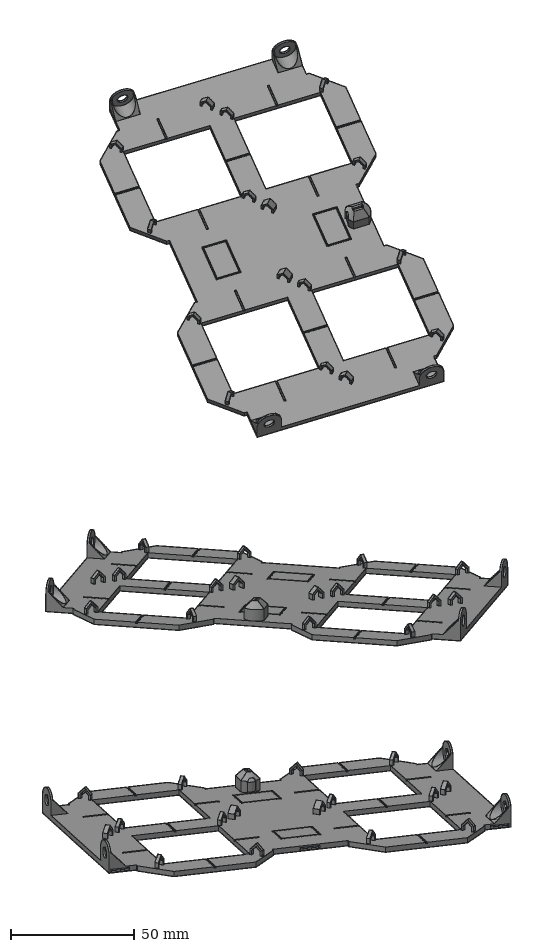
import cadquery as cq
import math

plate_length = 173.4
plate_width = 80.8
plate_thickness = 2.3

frame_x = 45.6
frame_y = 24.0
frame_size = 58.6
frame_flat = 35.4
window_size = 37.5

groove_width = 0.7
groove_depth = 0.5
label_length = 17.2
label_width = 10.5
label_line_width = 0.5

loop_span = 5.5
loop_wall = 0.9
loop_eave_height = 2.3
loop_depth = 1.5
outer_loop_depth = 2.0
inner_loop_depth = 3.0
loop_offset = 21.0
shifted_loop_offset = 28.3

bracket_width = 10.5
bracket_height = 12.5
bracket_wall = 0.9
bracket_hole_diameter = 4.5
gusset_length = 7.3
seat_diameter = 9.4

post_width = 8.3
post_length = 10.5
post_side_length = 6.8
post_shoulder_height = 7.1
post_crown_rise = 3.0
niche_width = 3.8
niche_height = 8.1
niche_depth = 0.7
post_slot_length = 3.8
post_slot_width = 0.7
post_slot_depth = 1.0

edge_slot_height = 1.2
edge_slot_bottom = 0.3
edge_slot_depth = 1.7
corner_slot_length = 8.0
corner_slot_margin = 0.9

bracket_radius = bracket_width / 2
bracket_axis_z = bracket_height - bracket_radius
bracket_y = plate_width / 2 - bracket_radius
post_y = plate_width / 2 - post_length / 2
frame_centers = [(sx * frame_x, sy * frame_y) for sx in (-1, 1) for sy in (-1, 1)]


def block(length, width, bottom, height, x=0.0, y=0.0):
    """Upright box centred on (x, y) with its underside at the given height."""
    return (
        cq.Workplane("XY", origin=(x, y, bottom))
        .rect(length, width)
        .extrude(height)
    )


def make_plate():
    plate = block(plate_length, plate_width, 0, plate_thickness)
    corner_cut = (frame_size - frame_flat) / 2
    for x, y in frame_centers:
        frame = block(frame_size, frame_size, 0, plate_thickness, x, y)
        plate = plate.union(frame.edges("|Z").chamfer(corner_cut))
    for x, y in frame_centers:
        plate = plate.cut(block(window_size, window_size, 0, plate_thickness, x, y))
    return plate


def engrave_lines(plate):
    floor = plate_thickness - groove_depth
    for x, y in frame_centers:
        plate = plate.cut(block(frame_size, groove_width, floor, groove_depth, x, y))
        plate = plate.cut(block(groove_width, frame_size, floor, groove_depth, x, y))
    for y in (-frame_y, frame_y):
        outer = block(label_length, label_width, floor, groove_depth, 0, y)
        inner_length = label_length - 2 * label_line_width
        inner_width = label_width - 2 * label_line_width
        inner = block(inner_length, inner_width, floor, groove_depth, 0, y)
        plate = plate.cut(outer.cut(inner))
    return plate


def gable(span, eave_height, depth):
    """House-shaped prism across X with a 45 degree roof, standing on the plate."""
    half = span / 2
    return (
        cq.Workplane("XZ", origin=(0, depth / 2, plate_thickness))
        .moveTo(-half, 0)
        .lineTo(half, 0)
        .lineTo(half, eave_height)
        .lineTo(0, eave_height + half)
        .lineTo(-half, eave_height)
        .close()
        .extrude(depth)
    )


def make_loop(x, y, angle, depth):
    opening_span = loop_span - 2 * loop_wall
    opening_eave = loop_eave_height + loop_wall * (1 - math.sqrt(2))
    loop = gable(loop_span, loop_eave_height, depth)
    loop = loop.cut(gable(opening_span, opening_eave, depth))
    return loop.rotate((0, 0, 0), (0, 0, 1), angle).translate((x, y, 0))


def add_loops(part):
    for x, y in frame_centers:
        for sx in (-1, 1):
            for sy in (-1, 1):
                faces_middle = sy * y < 0
                falling_diagonal = sx * sy < 0
                shifted = faces_middle and falling_diagonal
                angle = -45 if falling_diagonal and not shifted else 45
                offset_x = shifted_loop_offset if shifted else loop_offset
                near_center = shifted and sx * x < 0
                if near_center:
                    depth = inner_loop_depth
                elif shifted:
                    depth = outer_loop_depth
                else:
                    depth = loop_depth
                loop = make_loop(x + sx * offset_x, y + sy * loop_offset, angle, depth)
                part = part.union(loop)
    return part


def rod(diameter, start_x, length):
    """Cylinder along +X on the axis of a bracket hole."""
    return (
        cq.Workplane("YZ", origin=(start_x, 0, bracket_axis_z))
        .circle(diameter / 2)
        .extrude(length)
    )


def make_bracket():
    """Bracket for the -X end, centred on Y = 0."""
    outer_x = -plate_length / 2
    foot_x = outer_x + gusset_length
    peak_z = plate_thickness + gusset_length
    wall_x = outer_x + bracket_wall
    wedge = (
        cq.Workplane("XZ", origin=(0, bracket_radius, 0))
        .moveTo(outer_x, 0)
        .lineTo(foot_x, 0)
        .lineTo(foot_x, plate_thickness)
        .lineTo(wall_x, peak_z - bracket_wall)
        .lineTo(wall_x, bracket_height)
        .lineTo(outer_x, bracket_height)
        .close()
        .extrude(bracket_width)
    )
    arch = block(gusset_length, bracket_width, 0, bracket_axis_z, outer_x + gusset_length / 2)
    arch = arch.union(rod(bracket_width, outer_x, gusset_length))
    bracket = wedge.intersect(arch)
    bracket = bracket.cut(rod(seat_diameter, wall_x, gusset_length))
    return bracket.cut(rod(bracket_hole_diameter, outer_x, bracket_wall))


def add_brackets(part):
    left = make_bracket()
    for y in (-bracket_y, bracket_y):
        part = part.union(left.translate((0, y, 0)))
        part = part.union(left.mirror("YZ").translate((0, y, 0)))
    return part


def post_body(inset):
    """Post with bowed ends and a 45 degree crown, shrunk all round by the inset."""
    side_x = post_width / 2 - inset
    side_y = post_side_length / 2 - inset
    end_y = post_length / 2 - inset
    shaft_top = post_shoulder_height - inset
    shaft = (
        cq.Workplane("XY")
        .moveTo(side_x, -side_y)
        .lineTo(side_x, side_y)
        .threePointArc((0, end_y), (-side_x, side_y))
        .lineTo(-side_x, -side_y)
        .threePointArc((0, -end_y), (side_x, -side_y))
        .close()
        .extrude(shaft_top)
    )
    crown = (
        shaft.faces(">Z")
        .wires()
        .toPending()
        .workplane()
        .extrude(post_crown_rise - inset, combine=False, taper=45)
    )
    return shaft.union(crown)


def make_post():
    post = post_body(0)
    niche_radius = niche_width / 2
    spring_z = niche_height - niche_radius
    niche = (
        cq.Workplane("XZ")
        .moveTo(-niche_radius, plate_thickness)
        .lineTo(niche_radius, plate_thickness)
        .lineTo(niche_radius, spring_z)
        .threePointArc((0, niche_height), (-niche_radius, spring_z))
        .close()
        .extrude(post_length)
        .cut(post_body(niche_depth))
    )
    top = post_shoulder_height + post_crown_rise
    slot = block(post_slot_width, post_slot_length, top - post_slot_depth, post_slot_depth)
    return post.cut(niche).cut(slot).translate((0, post_y, 0))


def cut_edge_slots(part):
    slot_y = -plate_width / 2 + edge_slot_depth / 2
    corner_x = plate_length / 2 - corner_slot_margin - corner_slot_length / 2
    slots = [
        (-corner_x, corner_slot_length),
        (0, post_width),
        (corner_x, corner_slot_length),
    ]
    for x, length in slots:
        slot = block(length, edge_slot_depth, edge_slot_bottom, edge_slot_height, x, slot_y)
        part = part.cut(slot)
    return part


part = engrave_lines(make_plate())
part = add_loops(part)
part = add_brackets(part)
part = part.union(make_post())
result = cut_edge_slots(part)